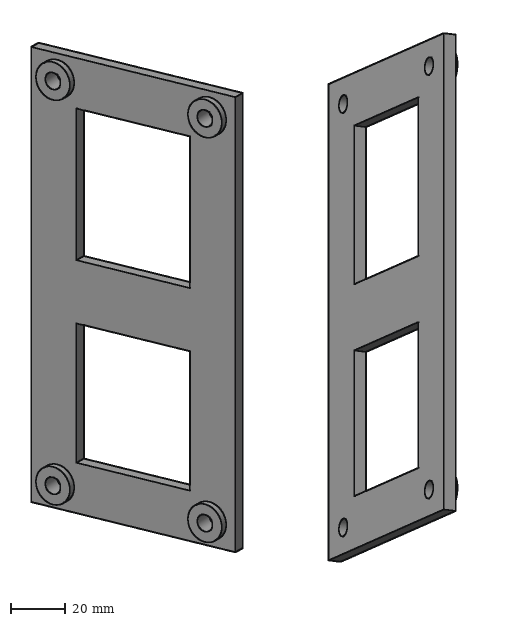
import cadquery as cq

plate_width = 90.0
plate_height = 180.0
total_depth = 8.0
plate_thickness = 5.0
boss_height = total_depth - plate_thickness

window_width = 50.0
window_margin = 20.0
upper_window_height = 60.0
lower_window_height = 55.0

boss_diameter = 15.0
hole_diameter = 6.7
boss_spacing_x = 67.0
boss_spacing_z = 160.0


def front_box(width, height, depth, center_z):
    """Box centred on X, reaching from the rear face at Y = 0 towards -Y."""
    box = cq.Workplane("XZ").center(0, center_z).rect(width, height)
    return box.extrude(depth)


def corner_cylinders(diameter, start_depth, length):
    """Four cylinders along -Y at the mounting points."""
    points = cq.Workplane("XZ").workplane(offset=start_depth)
    points = points.rect(boss_spacing_x, boss_spacing_z, forConstruction=True).vertices()
    return points.circle(diameter / 2).extrude(length)


plate = front_box(plate_width, plate_height, plate_thickness, 0)

upper_window_z = plate_height / 2 - window_margin - upper_window_height / 2
lower_window_z = -plate_height / 2 + window_margin + lower_window_height / 2
for height, center_z in (
    (upper_window_height, upper_window_z),
    (lower_window_height, lower_window_z),
):
    plate = plate.cut(front_box(window_width, height, plate_thickness, center_z))

bosses = corner_cylinders(boss_diameter, plate_thickness, boss_height)
holes = corner_cylinders(hole_diameter, 0, total_depth)
result = plate.union(bosses).cut(holes)